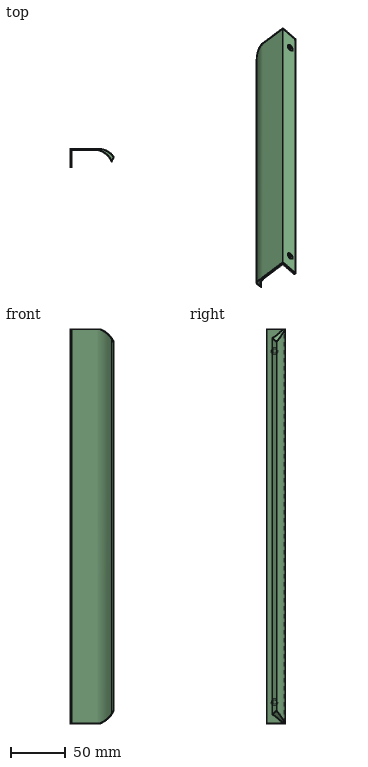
import cadquery as cq

length = 360.0
width = 40.0
depth = 17.0

flange_thickness = 1.5
web_thickness = 1.5
curl_start = 25.0
lip_tip = (37.8, -12.0)
lip_inner_mid = (32.8, -5.0)
lip_outer_mid = (34.2, -2.5)
lip_outer_end = (width, -8.0)

cut_start = 27.5
cut_height = 12.0
cut_mid_x = 35.3
cut_mid_drop = 5.5

hole_diameter = 4.0
sink_diameter = 6.5
hole_y = -10.0
hole_end_distance = 19.8


def make_profile_bar():
    """Extrude the section along the full length."""
    return (
        cq.Workplane("XY")
        .moveTo(0, 0)
        .lineTo(curl_start, 0)
        .threePointArc(lip_outer_mid, lip_outer_end)
        .lineTo(*lip_tip)
        .threePointArc(lip_inner_mid, (curl_start, -web_thickness))
        .lineTo(flange_thickness, -web_thickness)
        .lineTo(flange_thickness, -depth)
        .lineTo(0, -depth)
        .close()
        .extrude(length)
    )


def make_corner_cutter():
    """Material outside the rounded upper corner of the lip."""
    return (
        cq.Workplane("XZ")
        .moveTo(cut_start, length)
        .threePointArc((cut_mid_x, length - cut_mid_drop), (width, length - cut_height))
        .lineTo(width, length)
        .close()
        .extrude(depth)
    )


def make_countersunk_hole(hole_z):
    """Hole through the flange, countersunk from its outer face."""
    sink_depth = (sink_diameter - hole_diameter) / 2
    hole = (
        cq.Workplane("YZ")
        .center(hole_y, hole_z)
        .circle(hole_diameter / 2)
        .extrude(flange_thickness)
    )
    sink = cq.Solid.makeCone(
        sink_diameter / 2,
        hole_diameter / 2,
        sink_depth,
        pnt=cq.Vector(0, hole_y, hole_z),
        dir=cq.Vector(1, 0, 0),
    )
    return hole.union(cq.Workplane(sink))


upper_cutter = make_corner_cutter()
lower_cutter = upper_cutter.mirror("XY", (0, 0, length / 2))

result = make_profile_bar().cut(upper_cutter).cut(lower_cutter)
for hole_z in (hole_end_distance, length - hole_end_distance):
    result = result.cut(make_countersunk_hole(hole_z))